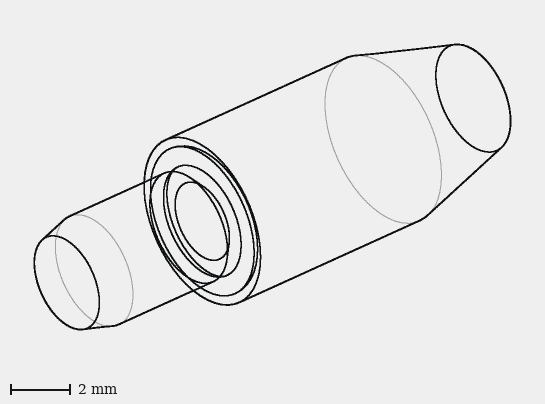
import cadquery as cq
import math

body_radius = 3.0
body_length = 12.0
nose_length = 4.0

pin_radius = 2.0
pin_length = 6.0
tip_length = 1.2
neck_length = 0.6

taper_angle = math.radians(15)
nose_radius = body_radius - nose_length * math.tan(taper_angle)
tip_radius = pin_radius - tip_length * math.tan(taper_angle)
neck_radius = pin_radius - neck_length

groove_inner_radius = pin_radius
groove_outer_radius = 2.67
groove_middle_radius = (groove_inner_radius + groove_outer_radius) / 2
groove_depth = (groove_outer_radius - groove_inner_radius) / 2


def turned_part():
    """Revolve the half section, drawn as (radius, Y), about the Y axis."""
    half_section = (
        cq.Workplane("XY")
        .moveTo(0, -pin_length)
        .lineTo(tip_radius, -pin_length)
        .lineTo(pin_radius, tip_length - pin_length)
        .lineTo(pin_radius, -neck_length)
        .lineTo(neck_radius, 0)
        .lineTo(groove_inner_radius, 0)
        .threePointArc((groove_middle_radius, groove_depth), (groove_outer_radius, 0))
        .lineTo(body_radius, 0)
        .lineTo(body_radius, body_length - nose_length)
        .lineTo(nose_radius, body_length)
        .lineTo(0, body_length)
        .close()
    )
    return half_section.revolve(360, (0, 0, 0), (0, 1, 0))


result = turned_part()